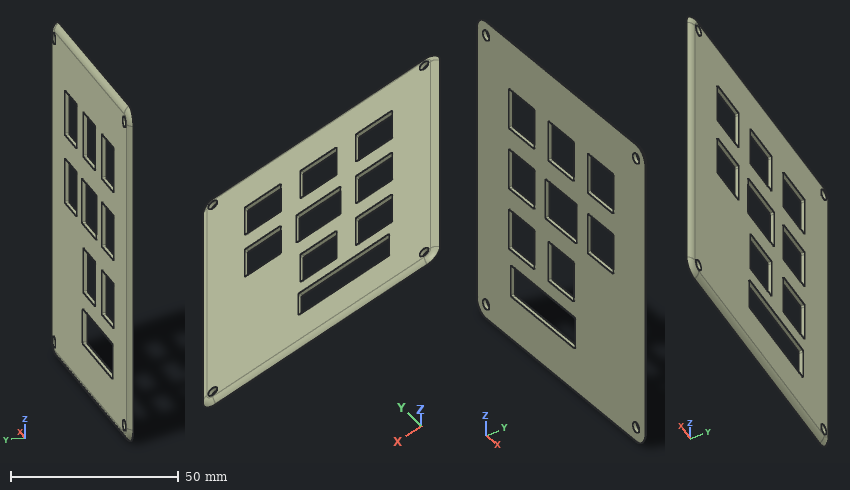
import cadquery as cq

width = 91.44
height = 105.72
thickness = 1.5
front_y = -thickness / 2
corner_radius = 5.0

rim_radius = 3.0
rim_inset = (rim_radius**2 - (rim_radius - thickness) ** 2) ** 0.5
rim_overhang = rim_radius - rim_inset

screw_diameter = 3.4
screw_margin = 5.0

window_corner_radius = 0.5

key_size = 14.0
wide_key_width = 17.0
key_pitch = 21.43
middle_row_z = 7.12
middle_key = (0, 0)
missing_key = (1, -1)

display_width = 35.0
display_height = 11.0
display_x = -9.8
display_z = -32.2


def make_plate():
    """Back slice of a thicker block whose outline corners and back rim are rounded."""
    block_depth = 2 * rim_radius
    back_y = front_y + thickness
    block_width = width + 2 * rim_overhang
    block_height = height + 2 * rim_overhang
    block = (
        cq.Workplane("XY")
        .box(block_width, block_depth, block_height)
        .translate((0, back_y - block_depth / 2, 0))
        .edges("|Y")
        .fillet(corner_radius + rim_overhang)
        .faces(">Y")
        .edges()
        .fillet(rim_radius)
    )
    slab = cq.Workplane("XY").box(block_width, thickness, block_height)
    return block.intersect(slab)


def make_window(x, z, window_width, window_height):
    """Cutter for a rounded rectangular opening through the plate."""
    return (
        cq.Workplane("XY")
        .box(window_width, 2 * thickness, window_height)
        .edges("|Y")
        .fillet(window_corner_radius)
        .translate((x, 0, z))
    )


def cut_screw_holes(plate):
    cutters = (
        cq.Workplane("XZ")
        .rect(width - 2 * screw_margin, height - 2 * screw_margin, forConstruction=True)
        .vertices()
        .circle(screw_diameter / 2)
        .extrude(thickness, both=True)
    )
    return plate.cut(cutters)


def cut_key_windows(plate):
    for column in (-1, 0, 1):
        for row in (-1, 0, 1):
            key = (column, row)
            if key == missing_key:
                continue
            key_width = wide_key_width if key == middle_key else key_size
            x = column * key_pitch
            z = middle_row_z + row * key_pitch
            plate = plate.cut(make_window(x, z, key_width, key_size))
    return plate


def cut_display_window(plate):
    return plate.cut(make_window(display_x, display_z, display_width, display_height))


plate = make_plate()
plate = cut_screw_holes(plate)
plate = cut_key_windows(plate)
result = cut_display_window(plate)